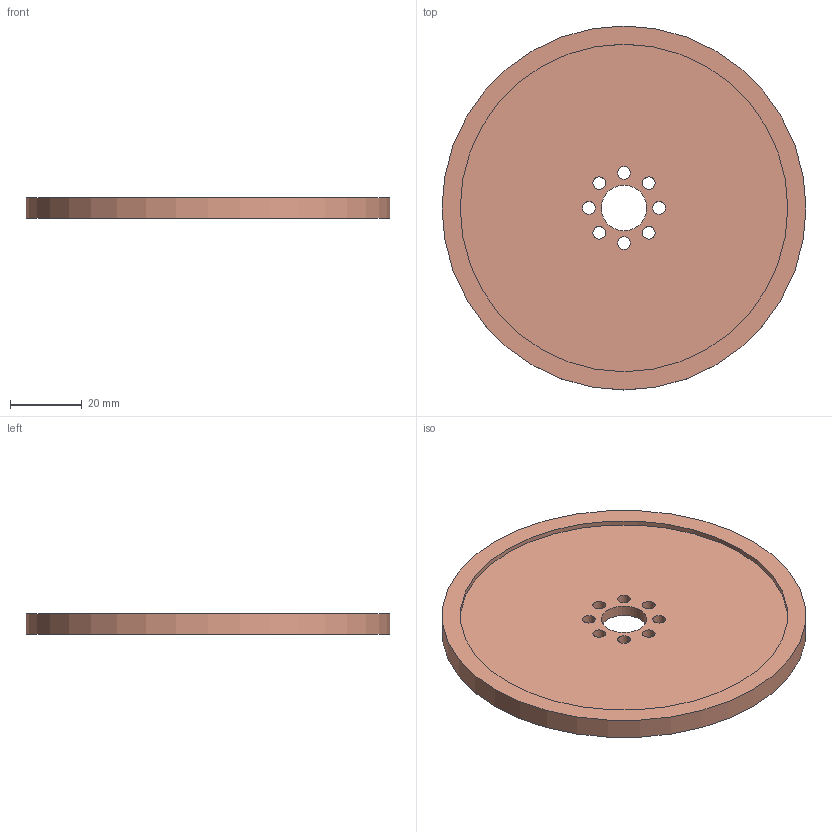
import cadquery as cq

disc_diameter = 101.6
disc_thickness = 5.84

rim_width = 5.08
web_thickness = 3.175
recess_depth = (disc_thickness - web_thickness) / 2
recess_diameter = disc_diameter - 2 * rim_width

bore_diameter = 12.7
mounting_hole_diameter = 3.56
mounting_hole_count = 8
mounting_circle_diameter = 19.56


def make_disc():
    """Plain disc standing on the XY plane, centred on the Z axis."""
    return cq.Workplane("XY").circle(disc_diameter / 2).extrude(disc_thickness)


def cut_recesses(body):
    """Sink the top and bottom faces inside the rim, leaving a thinner web midway."""
    recess = cq.Workplane("XY").circle(recess_diameter / 2).extrude(recess_depth)
    top_recess = recess.translate((0, 0, disc_thickness - recess_depth))
    return body.cut(recess).cut(top_recess)


def cut_bore(body):
    """Cut the central bore right through."""
    bore = cq.Workplane("XY").circle(bore_diameter / 2).extrude(disc_thickness)
    return body.cut(bore)


def cut_mounting_holes(body):
    """Cut the evenly spaced ring of through holes, the first one on +X."""
    holes = (
        cq.Workplane("XY")
        .polarArray(mounting_circle_diameter / 2, 0, 360, mounting_hole_count)
        .circle(mounting_hole_diameter / 2)
        .extrude(disc_thickness)
    )
    return body.cut(holes)


result = cut_mounting_holes(cut_bore(cut_recesses(make_disc())))